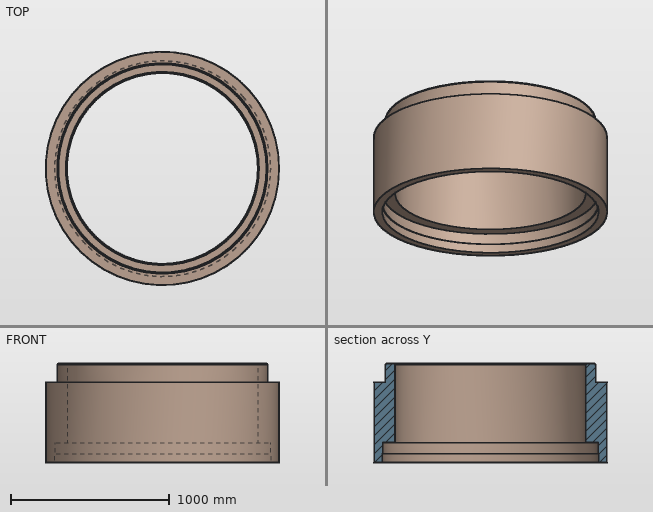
import cadquery as cq

total_height = 625.0
shoulder_height = 505.0
body_radius = 735.0
spigot_radius = 663.0

bore_radius = 600.0
socket_depth = 125.0
socket_radius = 678.0

mouth_depth = 56.0
mouth_radius = 680.0

rim_chamfer = 9.0
chamfer_start_height = total_height - rim_chamfer

half_section = (
    cq.Workplane("XZ")
    .moveTo(mouth_radius, 0)
    .lineTo(body_radius, 0)
    .lineTo(body_radius, shoulder_height)
    .lineTo(spigot_radius, shoulder_height)
    .lineTo(spigot_radius, chamfer_start_height)
    .lineTo(spigot_radius - rim_chamfer, total_height)
    .lineTo(bore_radius + rim_chamfer, total_height)
    .lineTo(bore_radius, chamfer_start_height)
    .lineTo(bore_radius, socket_depth)
    .lineTo(socket_radius, socket_depth)
    .lineTo(socket_radius, mouth_depth)
    .lineTo(mouth_radius, mouth_depth)
    .close()
)

result = half_section.revolve(360, (0, 0, 0), (0, 1, 0))